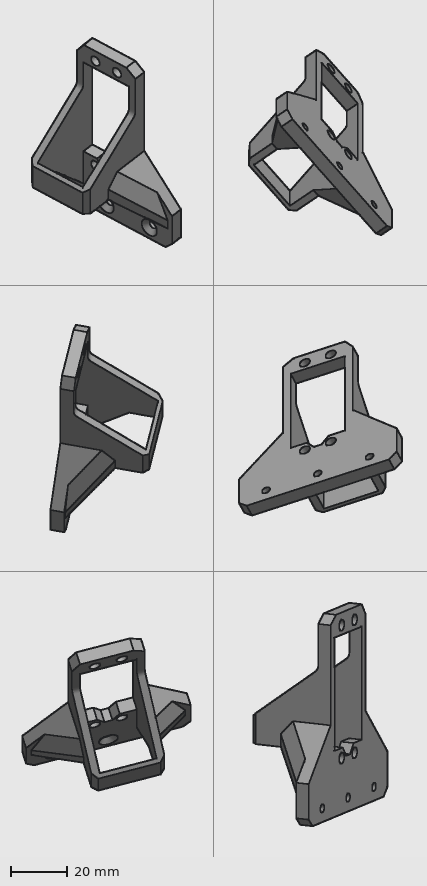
import cadquery as cq

height = 73.5
plate_half_width = 30.5
plate_thickness = 5.0
plate_side_top = 15.95
bottom_chamfer = 3.0
shoulder_height = 34.0

tower_half_width = 13.5
side_wall = 3.0
opening_half_width = tower_half_width - side_wall
opening_top = 65.35
box_depth = 32.0
box_bottom = 24.1
front_wall = 1.5
front_corner_chamfer = 2.0
slope_start_height = 53.9
slope_fillet = 3.0
tower_chamfer_short = 3.0
tower_chamfer_long = 4.2

notch_top_half_width = 4.2
notch_bottom_half_width = 1.5
notch_depth = 3.5

gusset_depth = 20.0
gusset_chamfer_depth = 4.9
gusset_chamfer_height = 5.15
gusset_drop = gusset_depth - plate_thickness
gusset_foot = box_bottom - gusset_drop

mount_hole_diameter = 4.0
mount_hole_x = 5.0
mount_hole_heights = (20.4, 68.9)
screw_diameter = 3.0
screw_head_diameter = 7.05
screw_head_angle = 90.0
screw_spacing = 20.0
screw_height = 5.1


def make_plate():
    outline = [
        (-plate_half_width + bottom_chamfer, 0),
        (plate_half_width - bottom_chamfer, 0),
        (plate_half_width, bottom_chamfer),
        (plate_half_width, plate_side_top),
        (tower_half_width, shoulder_height),
        (tower_half_width, height - tower_chamfer_short),
        (tower_half_width - tower_chamfer_long, height),
        (-tower_half_width + tower_chamfer_short, height),
        (-tower_half_width, height - tower_chamfer_long),
        (-tower_half_width, shoulder_height),
        (-plate_half_width, plate_side_top),
        (-plate_half_width, bottom_chamfer),
    ]
    return cq.Workplane("XZ").polyline(outline).close().extrude(plate_thickness)


def make_box():
    """Sloped solid block; the opening hollows it out later."""
    outline = [
        (-plate_thickness / 2, gusset_foot),
        (-plate_thickness, gusset_foot),
        (-gusset_depth, box_bottom),
        (-box_depth, box_bottom),
        (-box_depth, shoulder_height),
        (-plate_thickness, slope_start_height),
        (-plate_thickness, opening_top),
        (-plate_thickness / 2, opening_top),
    ]
    block = cq.Workplane("YZ").polyline(outline).close().extrude(tower_half_width, both=True)
    fillet_edge = cq.selectors.NearestToPointSelector((0, -plate_thickness, slope_start_height))
    block = block.edges("|X").edges(fillet_edge).fillet(slope_fillet)
    return block.faces("<Y").edges("|Z").chamfer(front_corner_chamfer)


def make_gusset():
    """Right-hand gusset: a slanted prism that follows the plate slope."""
    run = gusset_drop
    drop = run * (shoulder_height - plate_side_top) / (plate_half_width - tower_half_width)
    section = [
        (0, 0),
        (-gusset_depth, 0),
        (-gusset_depth, shoulder_height - gusset_chamfer_height),
        (-gusset_depth + gusset_chamfer_depth, shoulder_height),
        (0, shoulder_height),
    ]
    corners = [cq.Vector(tower_half_width, y, z) for y, z in section]
    profile = cq.Wire.makePolygon(corners, close=True)
    prism = cq.Workplane(cq.Solid.extrudeLinear(profile, [], cq.Vector(run, run, -drop)))
    envelope = [
        (-plate_thickness / 2, gusset_foot),
        (-plate_thickness, gusset_foot),
        (-gusset_depth, box_bottom),
        (-gusset_depth, shoulder_height),
        (-plate_thickness / 2, shoulder_height),
    ]
    keep = cq.Workplane("YZ").polyline(envelope).close().extrude(plate_half_width)
    return prism.intersect(keep)


def make_opening():
    """Window through the plate, box interior and the notch below the window."""
    width = 2 * opening_half_width
    window = (
        cq.Workplane("XY", origin=(0, 0, box_bottom))
        .rect(width, 2 * (box_depth - front_wall))
        .extrude(opening_top - box_bottom)
    )
    below = (
        cq.Workplane("XY")
        .center(0, -(plate_thickness + box_depth) / 2)
        .rect(width, box_depth - plate_thickness)
        .extrude(box_bottom)
    )
    notch = (
        cq.Workplane("XZ")
        .polyline([
            (-notch_top_half_width, box_bottom),
            (notch_top_half_width, box_bottom),
            (notch_bottom_half_width, box_bottom - notch_depth),
            (-notch_bottom_half_width, box_bottom - notch_depth),
        ])
        .close()
        .extrude(plate_thickness)
    )
    return window.union(below).union(notch)


def drill_holes(body):
    front = cq.Workplane("XZ", origin=(0, -plate_thickness, 0))
    mount_points = [(x, z) for x in (-mount_hole_x, mount_hole_x) for z in mount_hole_heights]
    mounts = front.pushPoints(mount_points).circle(mount_hole_diameter / 2).extrude(-plate_thickness)
    body = body.cut(mounts)
    screw_points = [(i * screw_spacing, screw_height) for i in (-1, 0, 1)]
    return (
        body.copyWorkplane(front)
        .pushPoints(screw_points)
        .cskHole(screw_diameter, screw_head_diameter, screw_head_angle)
    )


gusset = make_gusset()
bracket = make_plate().union(make_box()).union(gusset).union(gusset.mirror("YZ"))
result = drill_holes(bracket.cut(make_opening())).clean()